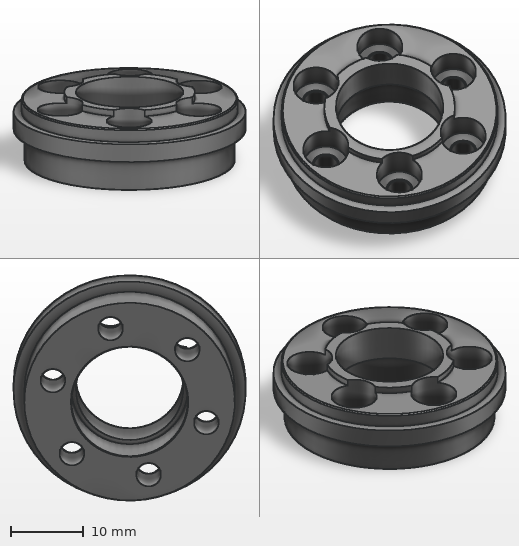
import cadquery as cq

total_height = 9.8
skirt_diameter = 29.0
flange_diameter = 32.0
flange_bottom = 4.48
flange_top = 7.0
shoulder_diameter = 29.8
shoulder_top = 8.9
shoulder_chamfer = 0.2
rim_diameter = 18.0

bore_diameter = 14.8
bottom_bore_diameter = 16.0
bottom_bore_depth = 4.95
bottom_bore_chamfer = 0.1

screw_count = 6
screw_circle_diameter = 22.0
screw_diameter = 3.4
screw_chamfer = 0.13
head_diameter = 6.2
head_floor = 5.3


def cylinder(diameter, bottom, top):
    """Upright cylinder on the Z axis between two heights."""
    return cq.Workplane("XY").workplane(offset=bottom).circle(diameter / 2).extrude(top - bottom)


def cone(bottom_diameter, top_diameter, bottom, top):
    """Upright truncated cone on the Z axis between two heights."""
    base = cq.Vector(0, 0, bottom)
    solid = cq.Solid.makeCone(bottom_diameter / 2, top_diameter / 2, top - bottom, base)
    return cq.Workplane("XY").add(solid)


def make_body():
    skirt = cylinder(skirt_diameter, 0, flange_bottom)
    flange = cylinder(flange_diameter, flange_bottom, flange_top)
    shoulder = cylinder(shoulder_diameter, flange_top, shoulder_top)
    shoulder = shoulder.faces(">Z").edges().chamfer(shoulder_chamfer)
    rim = cylinder(rim_diameter, shoulder_top, total_height)
    return skirt.union(flange).union(shoulder).union(rim)


def make_bore():
    narrow = cylinder(bore_diameter, 0, total_height)
    wide = cylinder(bottom_bore_diameter, 0, bottom_bore_depth)
    mouth_diameter = bottom_bore_diameter + 2 * bottom_bore_chamfer
    mouth = cone(mouth_diameter, bottom_bore_diameter, 0, bottom_bore_chamfer)
    return narrow.union(wide).union(mouth)


def make_screw_cutter():
    """Through hole with a chamfered mouth at the floor of the head pocket."""
    shank = cylinder(screw_diameter, 0, head_floor)
    mouth = cone(screw_diameter, screw_diameter + 2 * screw_chamfer, head_floor - screw_chamfer, head_floor)
    head = cylinder(head_diameter, head_floor, total_height)
    return shank.union(mouth).union(head)


result = make_body().cut(make_bore())

screw_cutter = make_screw_cutter().translate((screw_circle_diameter / 2, 0, 0))
for index in range(screw_count):
    angle = 90 + index * 360 / screw_count
    result = result.cut(screw_cutter.rotate((0, 0, 0), (0, 0, 1), angle))